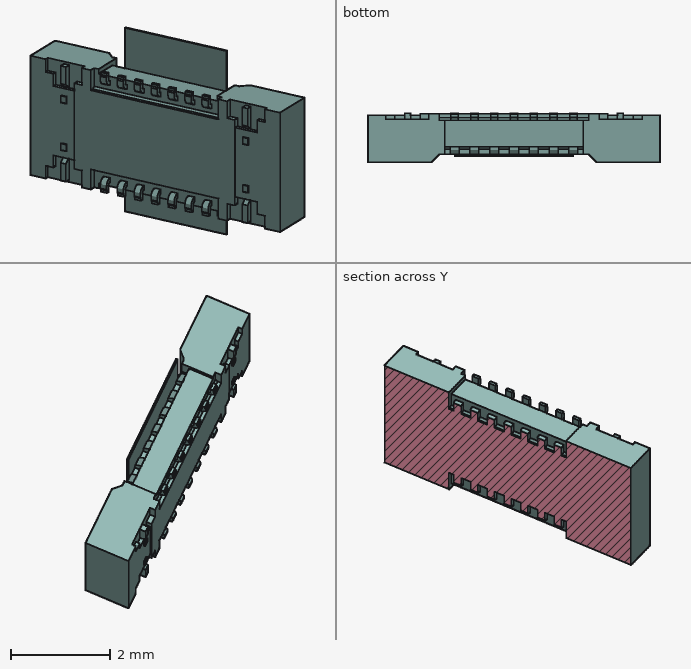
import cadquery as cq
import math

length = 5.9
depth = 1.0
end_height = 2.6
waist_height = 2.395
waist_length = 2.795
film_width = 2.4
film_height = 4.0
film_thickness = 0.035

back_y = depth / 2
waist_back_y = back_y - 0.16
back_pocket_y = back_y - 0.32
front_pocket_y = -0.355
block_front_y = back_y - 0.955
plate_front_y = block_front_y - 0.03
lead_front_y = -depth / 2

plate_half_length = 1.895
pocket_length = 3.01
pocket_wall_z = 0.86
pocket_bevel_depth = 0.055
pocket_bevel_rise = 0.04

recess_floor_y = -0.37
recess_x = (1.715, plate_half_length, 2.41, 2.59)
recess_z = (0.93, 0.755, 1.02)

pin_x = 2.15
pin_width = 0.125
pin_top_z = 1.25
pin_slope_top_z = 0.86
nub_z = 0.52
nub_height = 0.15

terminal_count = 7
terminal_pitch = film_width / (terminal_count - 1)
lead_width = 0.15
lead_thickness = 0.09
lead_shoulder_y = -0.48
lead_shoulder_z = 1.25
lead_slope_rise = 0.03
contact_width = 0.18
contact_top_z = 1.09
lead_outer_radius = front_pocket_y - lead_front_y
lead_inner_radius = lead_outer_radius - lead_thickness
lead_bend_z = 1.155
contact_radius = waist_back_y - back_pocket_y

terminal_xs = [(i - (terminal_count - 1) / 2) * terminal_pitch for i in range(terminal_count)]


def box(x_range, y_range, z_range):
    """Box between two limits along each axis."""
    sizes = [high - low for low, high in (x_range, y_range, z_range)]
    corner = (x_range[0], y_range[0], z_range[0])
    return cq.Workplane("XY").box(*sizes, centered=False).translate(corner)


def centred_bar(profile, x, width):
    """Extrude a closed YZ profile by the width, centred on x."""
    return profile.extrude(width / 2, both=True).translate((x, 0, 0))


def both_ends(shape):
    """The shape together with its mirror image below the middle plane."""
    return shape.union(shape.mirror("XY"))


def four_corners(shape):
    """The shape repeated at all four corners of the front."""
    pair = both_ends(shape)
    return pair.union(pair.mirror("YZ"))


def make_body():
    """Two end blocks joined by a shorter, thinner waist, with a raised front plate."""
    end_x = length / 2
    chamfer_end_x = pocket_length / 2
    chamfer_start_x = chamfer_end_x + back_y - waist_back_y
    half_outline = [
        (0, block_front_y),
        (end_x, block_front_y),
        (end_x, back_y),
        (chamfer_start_x, back_y),
        (chamfer_end_x, waist_back_y),
        (0, waist_back_y),
    ]
    half_blank = cq.Workplane("XY").polyline(half_outline).close().extrude(end_height / 2, both=True)
    plate = box(
        (-plate_half_length, plate_half_length),
        (plate_front_y, block_front_y),
        (-end_height / 2, end_height / 2),
    )
    notch = box(
        (-waist_length / 2, waist_length / 2),
        (-depth, depth),
        (waist_height / 2, end_height),
    )
    return half_blank.union(half_blank.mirror("YZ")).union(plate).cut(both_ends(notch))


def make_pocket(floor_y, open_y, pocket_width):
    """Cutter for a terminal pocket with a bevel where its floor meets its wall."""
    outward = math.copysign(1, open_y - floor_y)
    profile = cq.Workplane("YZ").polyline([
        (open_y, pocket_wall_z),
        (floor_y + outward * pocket_bevel_depth, pocket_wall_z),
        (floor_y, pocket_wall_z + pocket_bevel_rise),
        (floor_y, end_height),
        (open_y, end_height),
    ]).close()
    return centred_bar(profile, 0, pocket_width)


def make_recess():
    """Cutter for one stepped anchor recess, open at the end of the block."""
    steps = zip(recess_x, recess_x[1:], recess_z)
    recess = cq.Workplane("XY")
    for inner_x, outer_x, inner_z in steps:
        recess = recess.union(
            box((inner_x, outer_x), (plate_front_y, recess_floor_y), (inner_z, end_height))
        )
    return recess


def make_pin():
    """Anchor pin standing on the recess floor, sloped at its inner end."""
    profile = cq.Workplane("YZ").polyline([
        (recess_floor_y, recess_z[1]),
        (lead_front_y, pin_slope_top_z),
        (lead_front_y, pin_top_z),
        (recess_floor_y, pin_top_z),
    ]).close()
    return centred_bar(profile, pin_x, pin_width)


def make_nub():
    """Small rectangular nub on the block front, level with the plate."""
    return box(
        (pin_x - pin_width / 2, pin_x + pin_width / 2),
        (plate_front_y, block_front_y),
        (nub_z - nub_height / 2, nub_z + nub_height / 2),
    )


def make_lead(x):
    """Solder lead: leaves the front pocket floor and bends toward +Z."""
    diagonal = math.sqrt(0.5)
    outer_mid = lead_outer_radius * diagonal
    inner_mid = lead_inner_radius * diagonal
    inner_y = front_pocket_y - lead_inner_radius
    profile = (
        cq.Workplane("YZ")
        .moveTo(front_pocket_y, lead_bend_z - lead_outer_radius)
        .threePointArc(
            (front_pocket_y - outer_mid, lead_bend_z - outer_mid),
            (lead_front_y, lead_bend_z),
        )
        .lineTo(lead_front_y, lead_shoulder_z - lead_slope_rise)
        .lineTo(lead_shoulder_y, lead_shoulder_z)
        .lineTo(lead_shoulder_y, end_height / 2)
        .lineTo(inner_y, end_height / 2)
        .lineTo(inner_y, lead_bend_z)
        .threePointArc(
            (front_pocket_y - inner_mid, lead_bend_z - inner_mid),
            (front_pocket_y, lead_bend_z - lead_inner_radius),
        )
        .close()
    )
    return centred_bar(profile, x, lead_width)


def make_contact(x):
    """Contact on the back pocket floor, rounded at its outer end."""
    round_mid = contact_radius * math.sqrt(0.5)
    round_z = contact_top_z - contact_radius
    profile = (
        cq.Workplane("YZ")
        .moveTo(back_pocket_y, pocket_wall_z)
        .lineTo(waist_back_y, pocket_wall_z)
        .lineTo(waist_back_y, round_z)
        .threePointArc(
            (back_pocket_y + round_mid, round_z + round_mid),
            (back_pocket_y, contact_top_z),
        )
        .close()
    )
    return centred_bar(profile, x, contact_width)


def make_connector():
    """Connector body with its pockets, anchors and two rows of terminals."""
    connector = make_body()
    connector = connector.cut(both_ends(make_pocket(front_pocket_y, plate_front_y, pocket_length)))
    connector = connector.cut(both_ends(make_pocket(back_pocket_y, waist_back_y, waist_length)))
    connector = connector.cut(four_corners(make_recess()))
    connector = connector.union(four_corners(make_pin()))
    connector = connector.union(four_corners(make_nub()))
    for x in terminal_xs:
        connector = connector.union(both_ends(make_lead(x)))
        connector = connector.union(both_ends(make_contact(x)))
    return connector


def make_film():
    """Thin film lying on the back of the waist and reaching past both ends."""
    return box(
        (-film_width / 2, film_width / 2),
        (waist_back_y, waist_back_y + film_thickness),
        (-film_height / 2, film_height / 2),
    )


connector = make_connector()
film = make_film()

result = cq.Compound.makeCompound([connector.solids().val(), film.val()])